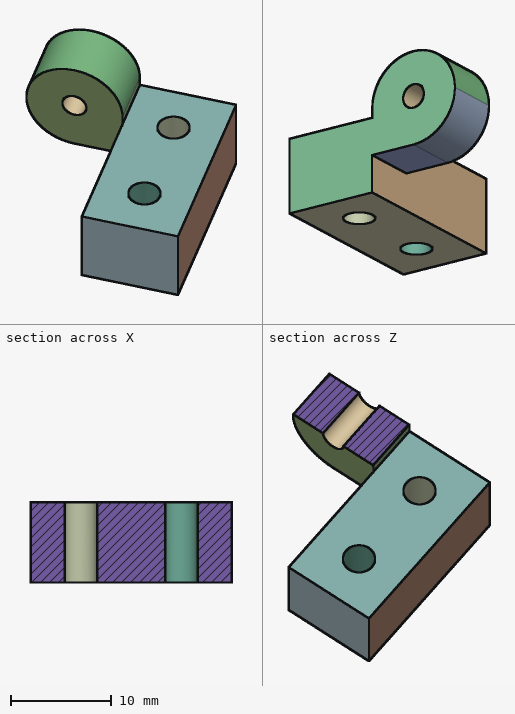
import cadquery as cq

block_width = 10.0
block_length = 20.0
block_height = 8.0

screw_hole_diameter = 3.2
screw_hole_spacing = block_length / 2

knuckle_radius = 5.0
knuckle_thickness = 6.0
knuckle_bottom = 4.0
knuckle_center_z = knuckle_bottom + knuckle_radius

pin_hole_diameter = 2.5
pin_hole_rise = 0.2

joint_x = 2 * knuckle_radius


def make_block():
    block = cq.Workplane("XY").box(block_width, block_length, block_height, centered=False)
    block = (
        block.faces(">Z")
        .workplane(centerOption="CenterOfBoundBox")
        .rarray(1, screw_hole_spacing, 1, 2)
        .hole(screw_hole_diameter)
    )
    return block.translate((joint_x, 0, 0))


def make_knuckle():
    """Round disc with a square lower corner that meets the block."""
    return (
        cq.Workplane("XZ", origin=(knuckle_radius, block_length, knuckle_center_z))
        .moveTo(0, -knuckle_radius)
        .lineTo(knuckle_radius, -knuckle_radius)
        .lineTo(knuckle_radius, 0)
        .radiusArc((0, knuckle_radius), -knuckle_radius)
        .radiusArc((-knuckle_radius, 0), -knuckle_radius)
        .radiusArc((0, -knuckle_radius), -knuckle_radius)
        .close()
        .extrude(knuckle_thickness)
    )


def make_pin_hole():
    return (
        cq.Workplane("XZ", origin=(knuckle_radius, block_length, knuckle_center_z + pin_hole_rise))
        .circle(pin_hole_diameter / 2)
        .extrude(knuckle_thickness)
    )


result = make_block().union(make_knuckle()).cut(make_pin_hole())